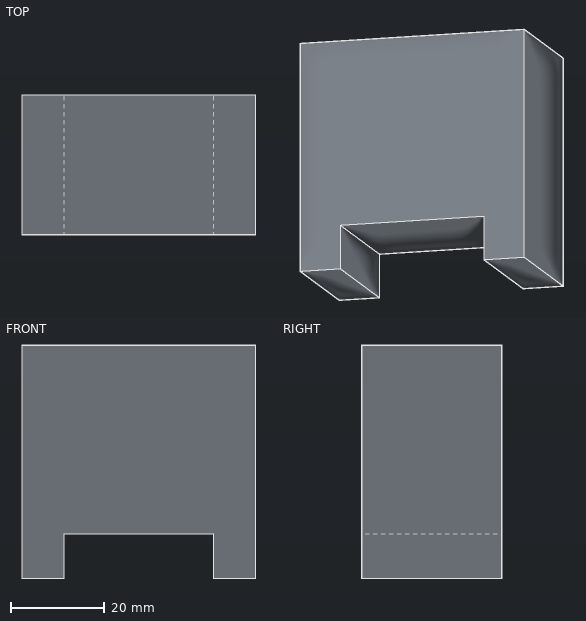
import cadquery as cq

width = 50.0
depth = 30.0
height = 50.0

foot_width = 9.0
slot_width = width - 2 * foot_width
slot_height = 9.55

block = cq.Workplane("XY").box(width, depth, height, centered=(True, True, False))
slot = cq.Workplane("XY").box(slot_width, depth, slot_height, centered=(True, True, False))

result = block.cut(slot)